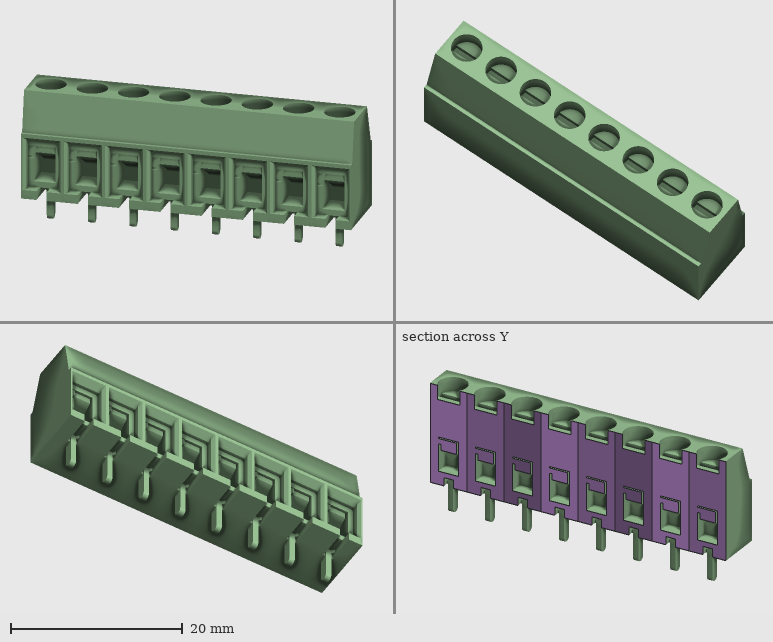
import cadquery as cq

POLE_COUNT = 8
STRIP_LENGTH = 40.0
PITCH = STRIP_LENGTH / POLE_COUNT
MID_X = PITCH / 2

DEPTH = 9.0
HEIGHT = 13.0
SHOULDER_Z = 8.05
SHOULDER_WIDTH = 0.5
TOP_FRONT_INSET = 1.3
TOP_BACK_INSET = 2.15

AXIS_Y = 4.05
WELL_DIAMETER = 3.7
WELL_DEPTH = 1.85
SCREW_SLOT_WIDTH = 0.85
SCREW_SLOT_DEPTH = 0.6

WALL = 0.2
FLOOR_Z = 1.1
MOUTH_TOP_Z = 7.55
FLARE_DEPTH = 0.5
CEILING_SLOPE_DEPTH = 0.95
RECESS_WIDTH = 4.0
RECESS_TOP_Z = 6.95
RECESS_DEPTH = 1.35

CAVITY_WIDTH = 2.65
CAVITY_FLOOR_Z = 1.8
CAVITY_TOP_Z = 6.2
CAVITY_BACK_Y = 4.6

TONGUE_TOP_Z = 6.1
TONGUE_WIDTH = 2.2
TONGUE_FRONT_Y = 1.6
TONGUE_FRONT_Z = 5.3
TONGUE_BACK_Z = 3.65
TONGUE_FOOT_RADIUS = 0.3

FRAME_CORNER = 0.4
FRAME_CORNER_DEPTH = 0.15
CHEEK_CORNER = 0.9
CHEEK_GROOVE_Z = 4.7
CHEEK_GROOVE_HEIGHT = 0.3

PIN_LENGTH = 3.6
PIN_THICKNESS = 0.7
PIN_WIDTH = 1.1
PIN_FRONT_Y = AXIS_Y - PIN_WIDTH / 2

NOTCH_WIDTH = 1.25
PIN_EXPOSURE = 0.2
NOTCH_DEPTH = PIN_FRONT_Y + PIN_EXPOSURE
NOTCH_TAPER_Y = 3.1
NOTCH_TAPER_Z = 0.6
NOTCH_NARROW_WIDTH = 0.6

RECESS_LEFT = MID_X - RECESS_WIDTH / 2
CAVITY_LEFT = MID_X - CAVITY_WIDTH / 2


def box(x0, x1, y0, y1, z0, z1):
    """Box between two opposite corners."""
    return cq.Workplane("XY").box(x1 - x0, y1 - y0, z1 - z0, centered=False).translate((x0, y0, z0))


def centred_box(width, y0, y1, z0, z1):
    """Box centred on the middle plane of the pole."""
    return box(MID_X - width / 2, MID_X + width / 2, y0, y1, z0, z1)


def housing_block():
    profile = [
        (0, 0),
        (DEPTH, 0),
        (DEPTH, SHOULDER_Z),
        (DEPTH - SHOULDER_WIDTH, SHOULDER_Z),
        (DEPTH - TOP_BACK_INSET, HEIGHT),
        (TOP_FRONT_INSET, HEIGHT),
        (SHOULDER_WIDTH, SHOULDER_Z),
        (0, SHOULDER_Z),
    ]
    return cq.Workplane("YZ").polyline(profile).close().extrude(PITCH)


def screw_well():
    head_z = HEIGHT - WELL_DEPTH
    well = cq.Workplane("XY", origin=(MID_X, AXIS_Y, head_z)).circle(WELL_DIAMETER / 2).extrude(WELL_DEPTH)
    slot = (
        cq.Workplane("XY", origin=(MID_X, AXIS_Y, head_z - SCREW_SLOT_DEPTH))
        .circle(WELL_DIAMETER / 2)
        .extrude(SCREW_SLOT_DEPTH)
        .intersect(
            centred_box(
                WELL_DIAMETER,
                AXIS_Y - SCREW_SLOT_WIDTH / 2,
                AXIS_Y + SCREW_SLOT_WIDTH / 2,
                head_z - SCREW_SLOT_DEPTH,
                head_z,
            )
        )
    )
    return well.union(slot)


def wire_entry():
    """Recess with a flat floor, and a ceiling and sides flared at the mouth."""
    side_outline = [
        (0, FLOOR_Z),
        (RECESS_DEPTH, FLOOR_Z),
        (RECESS_DEPTH, RECESS_TOP_Z),
        (CEILING_SLOPE_DEPTH, RECESS_TOP_Z),
        (0, MOUTH_TOP_Z),
    ]
    half_mouth = PITCH / 2 - WALL
    half_recess = RECESS_WIDTH / 2
    plan_outline = [
        (-half_mouth, 0),
        (half_mouth, 0),
        (half_recess, FLARE_DEPTH),
        (half_recess, RECESS_DEPTH),
        (-half_recess, RECESS_DEPTH),
        (-half_recess, FLARE_DEPTH),
    ]
    side_prism = cq.Workplane("YZ").polyline(side_outline).close().extrude(PITCH)
    plan_prism = cq.Workplane("XY", origin=(MID_X, 0, 0)).polyline(plan_outline).close().extrude(HEIGHT)
    return side_prism.intersect(plan_prism)


def clamp_cavity():
    """Cavity behind the recess, less the sloping tongue and the cheek beside the tongue front."""
    cavity = centred_box(CAVITY_WIDTH, RECESS_DEPTH, CAVITY_BACK_Y, CAVITY_FLOOR_Z, CAVITY_TOP_Z)
    tongue_left = MID_X - TONGUE_WIDTH / 2
    tongue_profile = [
        (TONGUE_FRONT_Y, TONGUE_TOP_Z),
        (TONGUE_FRONT_Y, TONGUE_FRONT_Z),
        (CAVITY_BACK_Y, TONGUE_BACK_Z),
        (CAVITY_BACK_Y, TONGUE_TOP_Z),
    ]
    tongue = (
        cq.Workplane("YZ", origin=(tongue_left, 0, 0))
        .polyline(tongue_profile)
        .close()
        .extrude(TONGUE_WIDTH)
    )
    tongue_cheek = box(
        CAVITY_LEFT, tongue_left, RECESS_DEPTH, CAVITY_BACK_Y, TONGUE_FRONT_Z, TONGUE_TOP_Z
    )
    foot = cq.NearestToPointSelector((MID_X, CAVITY_BACK_Y, TONGUE_BACK_Z))
    return cavity.cut(tongue).cut(tongue_cheek).edges(foot).fillet(TONGUE_FOOT_RADIUS)


def corner_relief(x_side, z_side, corner_z, radius):
    """Sliver outside a rounded frame corner; the signs tell to which side the corner points."""
    centre_x = MID_X + x_side * (RECESS_WIDTH / 2 - radius)
    centre_z = corner_z - z_side * radius
    plane = cq.Workplane("XZ", origin=(centre_x, RECESS_DEPTH, centre_z))
    square = plane.center(x_side * radius / 2, z_side * radius / 2).rect(radius, radius)
    return square.extrude(-FRAME_CORNER_DEPTH).cut(plane.circle(radius).extrude(-FRAME_CORNER_DEPTH))


def frame_reliefs():
    """Cuts in the face of the clamp frame: rounded corners, the gap over the cheek and its groove."""
    back_y = RECESS_DEPTH + FRAME_CORNER_DEPTH
    gap = box(RECESS_LEFT, CAVITY_LEFT, RECESS_DEPTH, back_y, TONGUE_TOP_Z, CAVITY_TOP_Z)
    groove_top_z = CHEEK_GROOVE_Z + CHEEK_GROOVE_HEIGHT
    groove = box(RECESS_LEFT, CAVITY_LEFT, RECESS_DEPTH, back_y, CHEEK_GROOVE_Z, groove_top_z)
    return [
        corner_relief(-1, -1, FLOOR_Z, FRAME_CORNER),
        corner_relief(1, -1, FLOOR_Z, FRAME_CORNER),
        corner_relief(1, 1, RECESS_TOP_Z, FRAME_CORNER),
        corner_relief(-1, 1, TONGUE_TOP_Z, CHEEK_CORNER),
        gap,
        groove,
    ]


def pin_notch():
    lower = centred_box(NOTCH_WIDTH, 0, NOTCH_DEPTH, 0, NOTCH_TAPER_Z)
    half_front = NOTCH_WIDTH / 2
    half_back = NOTCH_NARROW_WIDTH / 2
    outline = [
        (-half_front, 0),
        (half_front, 0),
        (half_front, NOTCH_TAPER_Y),
        (half_back, PIN_FRONT_Y),
        (-half_back, PIN_FRONT_Y),
        (-half_front, NOTCH_TAPER_Y),
    ]
    upper = (
        cq.Workplane("XY", origin=(MID_X, 0, NOTCH_TAPER_Z))
        .polyline(outline)
        .close()
        .extrude(FLOOR_Z - NOTCH_TAPER_Z)
    )
    return lower.union(upper)


def solder_pin():
    """Flat pin with a fully rounded tip."""
    radius = PIN_WIDTH / 2
    return (
        cq.Workplane("YZ", origin=(MID_X - PIN_THICKNESS / 2, AXIS_Y, 0))
        .moveTo(-radius, FLOOR_Z)
        .lineTo(-radius, radius - PIN_LENGTH)
        .threePointArc((0, -PIN_LENGTH), (radius, radius - PIN_LENGTH))
        .lineTo(radius, FLOOR_Z)
        .close()
        .extrude(PIN_THICKNESS)
    )


def terminal_pole(index):
    pole = housing_block()
    for hollow in [screw_well(), wire_entry(), clamp_cavity(), pin_notch(), *frame_reliefs()]:
        pole = pole.cut(hollow)
    return pole.union(solder_pin()).translate((index * PITCH, 0, 0))


poles = [terminal_pole(index) for index in range(POLE_COUNT)]

result = cq.Compound.makeCompound([pole.val() for pole in poles])